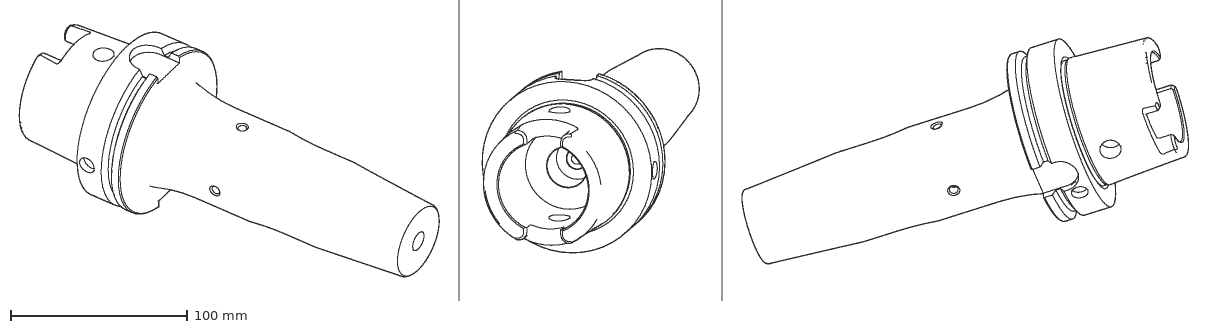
import cadquery as cq
import math

LENGTH = 250.0

TAIL_RADIUS = 35.5
TAPER_SLOPE = 0.05
TAIL_ROUND_LENGTH = 1.8
TAIL_ROUND_DEPTH = 1.2
TAPER_END = 47.0
RELIEF_RADIUS = 37.2
RELIEF_START = 48.2
FACE_RELIEF_RADIUS = 39.2
FACE_RELIEF_DEPTH = 0.8

FLANGE_FACE = 50.0
FLANGE_WIDTH = 29.0
FLANGE_RADIUS = 50.0
FLANGE_CHAMFER = 0.8
GROOVE_CENTER = 70.0
GROOVE_RADIUS = 46.0
GROOVE_FLOOR_WIDTH = 2.8
GROOVE_MOUTH_WIDTH = 7.0

FILLET_START_RADIUS = 35.5
NECK_RADIUS = 28.0
FLARE_START = 82.2
FLARE_START_RADIUS = 32.0
NECK_START = 111.0
NECK_END = 148.0
NOSE_RADIUS = 26.5
NOSE_START = 172.0
NOSE_TAPER_START = 192.5
TIP_RADIUS = 22.2
TIP_ROUND_LENGTH = 2.2
TIP_ROUND_DEPTH = 1.0

SHANK_BORE_RADIUS = 26.5
SHANK_BORE_DEPTH = 50.0
SHANK_BORE_FLOOR_RADIUS = 24.5
SHANK_BORE_STRAIGHT_END = 19.2
SHANK_BORE_CONE_START = 35.8
SHANK_BORE_CONE_RADIUS = 26.2
SHANK_BORE_CHAMFER = 0.8
TUBE_BORE_RADIUS = 11.8
TUBE_BORE_DEPTH = 20.0
SCREW_BORE_RADIUS = 5.8
BORE_CHAMFER = 0.2

SCREW_LENGTH = 25.0
SCREW_HOLE_RADIUS = 3.0

NOTCH_WIDTH = 20.0
NOTCH_DEPTH_TOP = 15.0
NOTCH_DEPTH_BOTTOM = 9.8
NOTCH_LIP_TOP = 32.0
NOTCH_LIP_RADIUS = 5.0
NOTCH_CHAMFER = 1.5
NOTCH_ROOT_FILLET = 1.5

CLAMP_HOLE_RADIUS = 6.0
CLAMP_HOLE_X = 34.5

UPPER_KEYWAY_WIDTH = 22.0
LOWER_KEYWAY_WIDTH = 20.0
KEYWAY_START = 54.5
KEYWAY_FLOOR = 44.0

RIM_HOLE_DEPTH = 4.5
SIDE_HOLE_X = 56.8
SIDE_HOLE_RADIUS = 5.0
SIDE_HOLE_ANGLE = 90.0
LOWER_HOLE_X = 58.5
LOWER_HOLE_RADIUS = 4.8
LOWER_HOLE_ANGLE = 17.0

BALANCE_HOLE_COUNT = 4
BALANCE_HOLE_X = 129.5
BALANCE_HOLE_RADIUS = 2.5
BALANCE_MOUTH_RADIUS = 3.5
BALANCE_HOLE_DEPTH = 7.5
DRILL_TIP_ANGLE = 118.0

CLEARANCE = 12.5

ARC_INSET = 1 - math.sqrt(0.5)

flange_end = FLANGE_FACE + FLANGE_WIDTH
screw_bore_start = SHANK_BORE_DEPTH + TUBE_BORE_DEPTH


def turn(profile):
    """Revolve a closed profile of the XZ plane about the X axis."""
    return profile.close().revolve(360, (0, 0, 0), (1, 0, 0))


def cylinder_x(radius, start, length):
    return cq.Workplane("YZ", origin=(start, 0, 0)).circle(radius).extrude(length)


def taper_radius(x):
    return TAIL_RADIUS + TAPER_SLOPE * x


def tangent_arc_radius(length, drop):
    """Radius of an arc that falls by `drop` over `length` and ends level."""
    return (length**2 + drop**2) / (2 * drop)


def level_arc_middle(start_x, start_radius, end_x, end_radius):
    """Middle point of a concave arc that runs level at its end."""
    length = end_x - start_x
    radius = tangent_arc_radius(length, start_radius - end_radius)
    half_angle = math.asin(length / radius) / 2
    return (
        end_x - radius * math.sin(half_angle),
        end_radius + radius * (1 - math.cos(half_angle)),
    )


def outer_body():
    tail_round_end = taper_radius(TAIL_ROUND_LENGTH)
    groove_half_floor = GROOVE_FLOOR_WIDTH / 2
    groove_half_mouth = GROOVE_MOUTH_WIDTH / 2
    fillet_middle = (
        flange_end + (FLARE_START - flange_end) * ARC_INSET,
        FLARE_START_RADIUS + (FILLET_START_RADIUS - FLARE_START_RADIUS) * ARC_INSET,
    )
    profile = (
        cq.Workplane("XZ")
        .moveTo(0, 0)
        .lineTo(0, tail_round_end - TAIL_ROUND_DEPTH)
        .threePointArc(
            (TAIL_ROUND_LENGTH * ARC_INSET, tail_round_end - TAIL_ROUND_DEPTH * ARC_INSET),
            (TAIL_ROUND_LENGTH, tail_round_end),
        )
        .lineTo(TAPER_END, taper_radius(TAPER_END))
        .lineTo(RELIEF_START, RELIEF_RADIUS)
        .lineTo(FLANGE_FACE + FACE_RELIEF_DEPTH, RELIEF_RADIUS)
        .lineTo(FLANGE_FACE, FACE_RELIEF_RADIUS)
        .lineTo(FLANGE_FACE, FLANGE_RADIUS)
        .lineTo(GROOVE_CENTER - groove_half_mouth, FLANGE_RADIUS)
        .lineTo(GROOVE_CENTER - groove_half_floor, GROOVE_RADIUS)
        .lineTo(GROOVE_CENTER + groove_half_floor, GROOVE_RADIUS)
        .lineTo(GROOVE_CENTER + groove_half_mouth, FLANGE_RADIUS)
        .lineTo(flange_end - FLANGE_CHAMFER, FLANGE_RADIUS)
        .lineTo(flange_end, FLANGE_RADIUS - FLANGE_CHAMFER)
        .lineTo(flange_end, FILLET_START_RADIUS)
        .threePointArc(fillet_middle, (FLARE_START, FLARE_START_RADIUS))
        .threePointArc(
            level_arc_middle(FLARE_START, FLARE_START_RADIUS, NECK_START, NECK_RADIUS),
            (NECK_START, NECK_RADIUS),
        )
        .lineTo(NECK_END, NECK_RADIUS)
        .threePointArc(
            level_arc_middle(NECK_END, NECK_RADIUS, NOSE_START, NOSE_RADIUS),
            (NOSE_START, NOSE_RADIUS),
        )
        .lineTo(NOSE_TAPER_START, NOSE_RADIUS)
        .lineTo(LENGTH - TIP_ROUND_LENGTH, TIP_RADIUS)
        .threePointArc(
            (LENGTH - TIP_ROUND_LENGTH * ARC_INSET, TIP_RADIUS - TIP_ROUND_DEPTH * ARC_INSET),
            (LENGTH, TIP_RADIUS - TIP_ROUND_DEPTH),
        )
        .lineTo(LENGTH, 0)
    )
    return turn(profile)


def axial_bores():
    profile = (
        cq.Workplane("XZ")
        .moveTo(0, 0)
        .lineTo(0, SHANK_BORE_RADIUS + SHANK_BORE_CHAMFER)
        .lineTo(SHANK_BORE_CHAMFER, SHANK_BORE_RADIUS)
        .lineTo(SHANK_BORE_STRAIGHT_END, SHANK_BORE_RADIUS)
        .lineTo(SHANK_BORE_CONE_START, SHANK_BORE_CONE_RADIUS)
        .lineTo(SHANK_BORE_DEPTH, SHANK_BORE_FLOOR_RADIUS)
        .lineTo(SHANK_BORE_DEPTH, TUBE_BORE_RADIUS + BORE_CHAMFER)
        .lineTo(SHANK_BORE_DEPTH + BORE_CHAMFER, TUBE_BORE_RADIUS)
        .lineTo(screw_bore_start, TUBE_BORE_RADIUS)
        .lineTo(screw_bore_start, SCREW_BORE_RADIUS + BORE_CHAMFER)
        .lineTo(screw_bore_start + BORE_CHAMFER, SCREW_BORE_RADIUS)
        .lineTo(LENGTH, SCREW_BORE_RADIUS)
        .lineTo(LENGTH, 0)
    )
    return turn(profile)


def notch_outline(x, side, growth):
    """Outline of a drive notch at the given X, widened all round by `growth`."""
    wall = NOTCH_WIDTH / 2 + growth
    lip_radius = NOTCH_LIP_RADIUS - growth
    lip_top = NOTCH_LIP_TOP - growth
    lip_start = lip_top - lip_radius
    lip_end = wall + lip_radius
    arc_in = lip_radius * ARC_INSET
    return (
        cq.Workplane("YZ", origin=(x, 0, 0))
        .moveTo(-wall, 0)
        .lineTo(-wall, side * lip_start)
        .threePointArc((-wall - arc_in, side * (lip_top - arc_in)), (-lip_end, side * lip_top))
        .lineTo(-lip_end - CLEARANCE, side * lip_top)
        .lineTo(-lip_end - CLEARANCE, side * FLANGE_RADIUS)
        .lineTo(lip_end + CLEARANCE, side * FLANGE_RADIUS)
        .lineTo(lip_end + CLEARANCE, side * lip_top)
        .lineTo(lip_end, side * lip_top)
        .threePointArc((wall + arc_in, side * (lip_top - arc_in)), (wall, side * lip_start))
        .lineTo(wall, 0)
        .close()
    )


def drive_notch(depth, side):
    """Notch through the tail wall on the +Z (side = 1) or -Z (side = -1) side."""
    slot = notch_outline(0, side, 0).extrude(depth).faces(">X").edges().fillet(NOTCH_ROOT_FILLET)
    wide_wire = notch_outline(0, side, NOTCH_CHAMFER).val()
    narrow_wire = notch_outline(NOTCH_CHAMFER, side, 0).val()
    chamfer = cq.Solid.makeLoft([wide_wire, narrow_wire], True)
    return slot.union(cq.Workplane(chamfer))


def clamping_holes():
    return (
        cq.Workplane("XY", origin=(CLAMP_HOLE_X, 0, 0))
        .circle(CLAMP_HOLE_RADIUS)
        .extrude(FLANGE_RADIUS, both=True)
    )


def keyway(width, side):
    """Flat-floored keyway with a round end, open at the neck side of the flange."""
    round_radius = width / 2
    round_center = KEYWAY_START + round_radius
    straight = flange_end - round_center
    floor = cq.Workplane("XY", origin=(round_center, 0, side * KEYWAY_FLOOR))
    height = side * CLEARANCE
    slot = floor.rect(straight, width).extrude(height).translate((straight / 2, 0, 0))
    return slot.union(floor.circle(round_radius).extrude(height))


def rim_hole(x, radius, angle):
    """Flat-bottomed blind hole in the flange rim."""
    hole = (
        cq.Workplane("XY", origin=(x, 0, -FLANGE_RADIUS + RIM_HOLE_DEPTH))
        .circle(radius)
        .extrude(-CLEARANCE)
    )
    return hole.rotate((0, 0, 0), (1, 0, 0), -angle)


def balance_hole(angle):
    """Countersunk blind hole with a drill tip, pointing at the axis."""
    countersink = BALANCE_MOUTH_RADIUS - BALANCE_HOLE_RADIUS
    floor = NECK_RADIUS - BALANCE_HOLE_DEPTH
    tip = floor - BALANCE_HOLE_RADIUS / math.tan(math.radians(DRILL_TIP_ANGLE / 2))
    hole = (
        cq.Workplane("XZ")
        .moveTo(0, tip)
        .lineTo(BALANCE_HOLE_RADIUS, floor)
        .lineTo(BALANCE_HOLE_RADIUS, NECK_RADIUS - countersink)
        .lineTo(BALANCE_MOUTH_RADIUS, NECK_RADIUS)
        .lineTo(BALANCE_MOUTH_RADIUS, NECK_RADIUS + CLEARANCE)
        .lineTo(0, NECK_RADIUS + CLEARANCE)
        .close()
        .revolve(360, (0, 0, 0), (0, 1, 0))
        .translate((BALANCE_HOLE_X, 0, 0))
    )
    return hole.rotate((0, 0, 0), (1, 0, 0), angle)


def make_holder():
    body = outer_body().cut(axial_bores())
    body = body.cut(drive_notch(NOTCH_DEPTH_TOP, 1)).cut(drive_notch(NOTCH_DEPTH_BOTTOM, -1))
    body = body.cut(clamping_holes())
    body = body.cut(keyway(UPPER_KEYWAY_WIDTH, 1)).cut(keyway(LOWER_KEYWAY_WIDTH, -1))
    body = body.cut(rim_hole(SIDE_HOLE_X, SIDE_HOLE_RADIUS, SIDE_HOLE_ANGLE))
    body = body.cut(rim_hole(LOWER_HOLE_X, LOWER_HOLE_RADIUS, LOWER_HOLE_ANGLE))
    for index in range(BALANCE_HOLE_COUNT):
        body = body.cut(balance_hole(index * 360 / BALANCE_HOLE_COUNT))
    return body


def make_stop_screw():
    start = screw_bore_start + BORE_CHAMFER
    blank = cylinder_x(SCREW_BORE_RADIUS, start, SCREW_LENGTH)
    return blank.cut(cylinder_x(SCREW_HOLE_RADIUS, start, SCREW_LENGTH))


holder = make_holder()
stop_screw = make_stop_screw()

result = cq.Compound.makeCompound([holder.val(), stop_screw.val()])